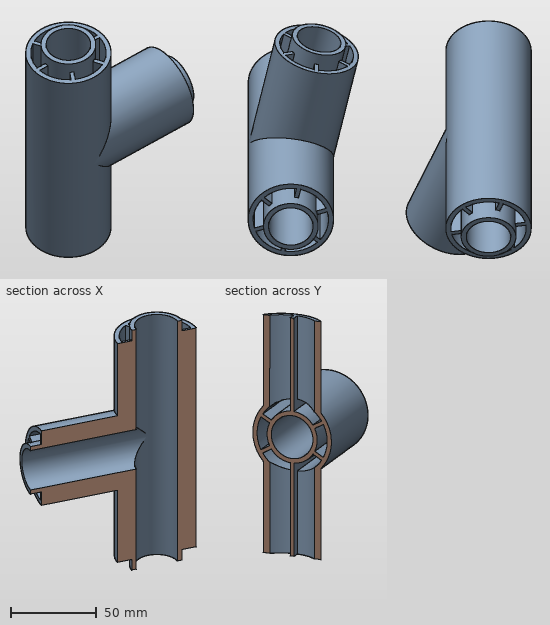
import cadquery as cq

OUTER_DIAMETER = 50.0
INNER_DIAMETER = 32.0
WALL = 3.0
RIB_THICKNESS = 2.5
RIB_COUNT = 6
ARM_LENGTH = 80.0
TUBE_PROJECTION = 7.0

SHELL_LENGTH = ARM_LENGTH - TUBE_PROJECTION
SHELL_BORE = OUTER_DIAMETER - 2 * WALL
TUBE_BORE = INNER_DIAMETER - 2 * WALL
RIB_INNER_RADIUS = (INNER_DIAMETER - WALL) / 2
RIB_OUTER_RADIUS = (OUTER_DIAMETER - WALL) / 2


def ring(outer_diameter, bore, length):
    """Tube along Z, starting at the origin."""
    return cq.Workplane("XY").circle(outer_diameter / 2).circle(bore / 2).extrude(length)


def ribs():
    """Radial ribs joining the inner tube to the shell, the first one along +Y."""
    return (
        cq.Workplane("XY")
        .polarArray((RIB_INNER_RADIUS + RIB_OUTER_RADIUS) / 2, 90, 360, RIB_COUNT)
        .rect(RIB_OUTER_RADIUS - RIB_INNER_RADIUS, RIB_THICKNESS)
        .extrude(SHELL_LENGTH)
    )


def arm():
    """Double-walled pipe from the tee centre along +Z."""
    shell = ring(OUTER_DIAMETER, SHELL_BORE, SHELL_LENGTH)
    tube = ring(INNER_DIAMETER, TUBE_BORE, ARM_LENGTH)
    return shell.union(tube).union(ribs())


def miter_wedge():
    """Space claimed by the branch: everything with Y greater than |Z|."""
    return (
        cq.Workplane("YZ")
        .polyline([(0, 0), (ARM_LENGTH, ARM_LENGTH), (ARM_LENGTH, -ARM_LENGTH)])
        .close()
        .extrude(OUTER_DIAMETER, both=True)
    )


upper_arm = arm()
run = upper_arm.union(upper_arm.mirror("XY"))

branch = arm().rotate((0, 0, 0), (1, 0, 0), -90)
result = run.cut(miter_wedge()).union(branch.intersect(miter_wedge()))